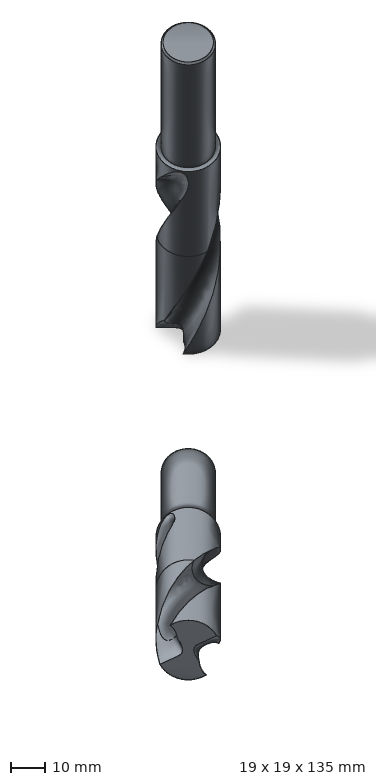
import cadquery as cq
import math

total_length = 135.0
cutter_radius = 19.0 / 2
shank_radius = 16.0 / 2
shank_chamfer = 0.6
shoulder_height = 86.0
tip_length = 46.0

flute_count = 2
flute_radius = 5.5
flute_lead = 148.0
flute_end_height = 71.4
flute_end_angle = 271.0
runout_length = 14.0

gash_heel = (-6.55, -6.88)
gash_valley = (-0.7, -1.5)
gash_flute_end = (3.4, -4.7)
gash_rise = (4.8, -4.8, 12.0)
gash_heel_direction = (1.0, 1.0)
gash_wall_direction = (1.0, -1.0)
gash_outer_y = -2 * cutter_radius


def polar(radius, angle):
    """Point at a radius and an angle in degrees around Z."""
    return (radius * math.cos(math.radians(angle)), radius * math.sin(math.radians(angle)))


def twist(length):
    """Degrees the flutes turn over a length along Z."""
    return 360 * length / flute_lead


def flute_section(center_radius, height):
    """Circular outline of the first flute at a height."""
    angle = flute_end_angle + twist(height - flute_end_height)
    center = cq.Vector(*polar(center_radius, angle), height)
    return cq.Wire.makeCircle(flute_radius, center, cq.Vector(0, 0, 1))


def helical_flute():
    """Full-depth flute, twisting from the end face up to the runout."""
    start = polar(cutter_radius, flute_end_angle - twist(flute_end_height))
    return (
        cq.Workplane("XY")
        .pushPoints([start])
        .circle(flute_radius)
        .twistExtrude(flute_end_height, twist(flute_end_height))
    )


def flute_runout():
    """Slanted end of the flute, rising straight out of the cutter's surface."""
    start = flute_section(cutter_radius, flute_end_height)
    end = flute_section(cutter_radius + flute_radius, flute_end_height + runout_length)
    return cq.Workplane(obj=cq.Solid.makeLoft([start, end]))


def heel_gash():
    """Slanted prism that clears the heel side of a flute at the end face."""
    outer_heel_x = gash_heel[0] + gash_outer_y - gash_heel[1]
    outline = (
        cq.Workplane("XY")
        .spline(
            [gash_heel, gash_valley, gash_flute_end],
            tangents=[gash_heel_direction, gash_wall_direction],
        )
        .lineTo(gash_flute_end[0], gash_outer_y)
        .lineTo(outer_heel_x, gash_outer_y)
        .close()
    )
    return cq.Workplane(obj=cq.Solid.extrudeLinear(outline.val(), [], cq.Vector(*gash_rise)))


def cut_around(body, tool):
    """Cut one copy of the tool per flute, evenly spaced around Z."""
    for index in range(flute_count):
        body = body.cut(tool.rotate((0, 0, 0), (0, 0, 1), 360 * index / flute_count))
    return body


def cutting_tip():
    """Lower body: fluted cutter with the gashed end."""
    tip = cq.Workplane("XY").circle(cutter_radius).extrude(tip_length)
    tip = cut_around(tip, helical_flute())
    return cut_around(tip, heel_gash())


def shank_body():
    """Upper body: fluted collar below a plain chamfered shank."""
    shank = (
        cq.Workplane("XY", origin=(0, 0, tip_length))
        .circle(cutter_radius)
        .extrude(shoulder_height - tip_length)
        .faces(">Z")
        .workplane()
        .circle(shank_radius)
        .extrude(total_length - shoulder_height)
        .faces(">Z")
        .chamfer(shank_chamfer)
    )
    shank = cut_around(shank, helical_flute())
    return cut_around(shank, flute_runout())


tip = cutting_tip()
shank = shank_body()

result = cq.Compound.makeCompound([tip.val(), shank.val()])